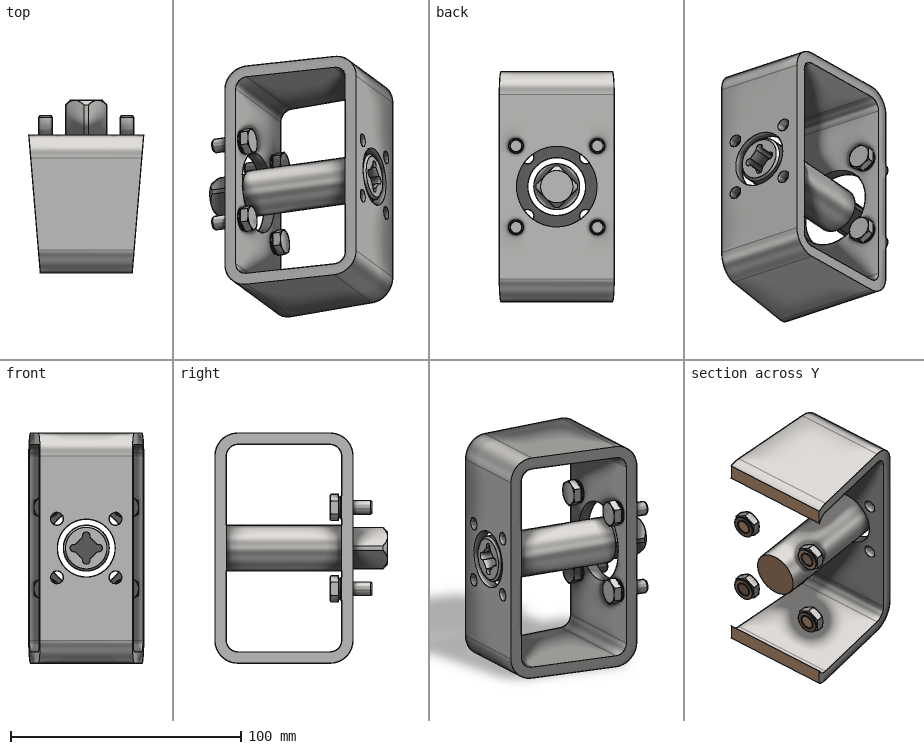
import cadquery as cq
import math

FRAME_HEIGHT = 100.0
FRAME_DEPTH = 60.0
BACK_WIDTH = 50.0
FRONT_WIDTH = 40.0
WALL = 5.0
CORNER_RADIUS = 10.0
FRONT_Y = -FRAME_DEPTH / 2
BACK_Y = FRAME_DEPTH / 2
BACK_INNER_Y = BACK_Y - WALL

FRONT_OPENING_DIA = 25.0
BACK_OPENING_DIA = 35.0
FRONT_HOLE_DIA = 5.5
FRONT_HOLE_CIRCLE_DIA = 36.0
BOLT_HOLE_DIA = 6.5
BOLT_CIRCLE_DIA = 50.0

SHAFT_DIA = 20.0
SHAFT_CHAMFER = 1.0
DRIVE_SIZE = 14.0
DRIVE_CORNER_DIA = 18.0
DRIVE_CHAMFER = 2.0
DRIVE_OVERHANG = 15.0
DRIVE_LENGTH = 17.0
DRIVE_END_Y = BACK_Y + DRIVE_OVERHANG
DRIVE_START_Y = DRIVE_END_Y - DRIVE_LENGTH
SOCKET_SQUARE = 9.0
SOCKET_SPAN = 14.0
SOCKET_SLOT_WIDTH = 3.2
SOCKET_DEPTH = 15.0

WASHER_DIA = 10.0
WASHER_HOLE_DIA = 6.4
WASHER_THICKNESS = 0.7
WASHER_CHAMFER = WASHER_THICKNESS / 2
BOLT_DIA = 6.0
BOLT_LENGTH = 14.0
TIP_DIA = 5.0
TIP_CHAMFER_LENGTH = 0.7
COLLAR_DIA = 8.9
COLLAR_HEIGHT = 0.7
HEX_ACROSS_FLATS = 10.0
HEX_ACROSS_CORNERS = HEX_ACROSS_FLATS / math.cos(math.radians(30))
HEX_HEIGHT = 3.6
HEAD_FACE_DIA = HEX_ACROSS_FLATS
HEAD_CHAMFER_HEIGHT = 0.4
BOLT_SEAT_Y = BACK_INNER_Y - WASHER_THICKNESS


def plane_at(y, x=0.0, z=0.0):
    """Work plane parallel to XZ, with its origin at (x, y, z) and its normal along -Y."""
    return cq.Workplane("XZ", origin=(x, y, z))


def prism(sketch, length):
    """Extrude a sketch lying on an XZ plane towards +Y."""
    return sketch.extrude(-length)


def cylinder(diameter, y_start, y_end, x=0.0, z=0.0):
    """Round bar along Y between two depths."""
    return prism(plane_at(y_start, x, z).circle(diameter / 2), y_end - y_start)


def turned(profile):
    """Revolve a closed (radius, y) profile around the Y axis."""
    return cq.Workplane("XY").polyline(profile).close().revolve(360, (0, 0, 0), (0, 1, 0))


def diagonal_points(circle_dia):
    """The four (x, z) points of a bolt circle that lie on its diagonals."""
    offset = circle_dia / 2 * math.cos(math.radians(45))
    return [(sx * offset, sz * offset) for sx in (-1, 1) for sz in (-1, 1)]


def make_frame():
    """Tapered tube with a large opening and four holes in each plate."""
    outer = cq.Workplane("YZ").rect(FRAME_DEPTH, FRAME_HEIGHT).extrude(BACK_WIDTH / 2, both=True)
    outer = outer.edges("|X").fillet(CORNER_RADIUS)
    inner = (
        cq.Workplane("YZ")
        .rect(FRAME_DEPTH - 2 * WALL, FRAME_HEIGHT - 2 * WALL)
        .extrude(BACK_WIDTH / 2, both=True)
        .edges("|X")
        .fillet(CORNER_RADIUS - WALL)
    )
    taper = (
        cq.Workplane("XY")
        .polyline(
            [
                (-FRONT_WIDTH / 2, FRONT_Y),
                (FRONT_WIDTH / 2, FRONT_Y),
                (BACK_WIDTH / 2, BACK_Y),
                (-BACK_WIDTH / 2, BACK_Y),
            ]
        )
        .close()
        .extrude(FRAME_HEIGHT / 2, both=True)
    )
    frame = outer.cut(inner).intersect(taper)

    frame = frame.cut(cylinder(FRONT_OPENING_DIA, FRONT_Y, FRONT_Y + WALL))
    frame = frame.cut(cylinder(BACK_OPENING_DIA, BACK_INNER_Y, BACK_Y))
    for x, z in diagonal_points(FRONT_HOLE_CIRCLE_DIA):
        frame = frame.cut(cylinder(FRONT_HOLE_DIA, FRONT_Y, FRONT_Y + WALL, x, z))
    for x, z in diagonal_points(BOLT_CIRCLE_DIA):
        frame = frame.cut(cylinder(BOLT_HOLE_DIA, BACK_INNER_Y, BACK_Y, x, z))
    return frame


def make_drive():
    """Square stub standing on its corner, with turned-down corners and a conical end."""
    base = plane_at(DRIVE_START_Y).transformed(rotate=(0, 0, 45))
    square = prism(base.rect(DRIVE_SIZE, DRIVE_SIZE), DRIVE_LENGTH)
    envelope = cylinder(DRIVE_CORNER_DIA, DRIVE_START_Y, DRIVE_END_Y).faces(">Y").chamfer(DRIVE_CHAMFER)
    return square.intersect(envelope)


def make_socket():
    """Cross-shaped recess: a square on its corner with a round-ended slot along each diagonal."""
    base = plane_at(FRONT_Y)
    socket = prism(base.transformed(rotate=(0, 0, 45)).rect(SOCKET_SQUARE, SOCKET_SQUARE), SOCKET_DEPTH)
    for angle in (0, 90):
        socket = socket.union(prism(base.slot2D(SOCKET_SPAN, SOCKET_SLOT_WIDTH, angle), SOCKET_DEPTH))
    return socket


def make_shaft():
    """Round bar that starts flush with the front plate and ends in the square drive."""
    body = cylinder(SHAFT_DIA, FRONT_Y, DRIVE_START_Y).faces("<Y").chamfer(SHAFT_CHAMFER)
    return body.union(make_drive()).cut(make_socket())


def make_washer(x, z):
    """Flat ring against the inside of the back plate, chamfered on the bolt head side."""
    ring = cylinder(WASHER_DIA, BOLT_SEAT_Y, BACK_INNER_Y).faces("<Y").edges().chamfer(WASHER_CHAMFER)
    ring = ring.cut(cylinder(WASHER_HOLE_DIA, BOLT_SEAT_Y, BACK_INNER_Y))
    return ring.translate((x, 0, z))


def make_bolt(x, z):
    """Hexagon bolt with a round collar under the head, pointing towards +Y."""
    tip_y = BOLT_SEAT_Y + BOLT_LENGTH
    hex_y = BOLT_SEAT_Y - COLLAR_HEIGHT
    head_y = hex_y - HEX_HEIGHT

    shank = turned(
        [
            (0, hex_y),
            (COLLAR_DIA / 2, hex_y),
            (COLLAR_DIA / 2, BOLT_SEAT_Y),
            (BOLT_DIA / 2, BOLT_SEAT_Y),
            (BOLT_DIA / 2, tip_y - TIP_CHAMFER_LENGTH),
            (TIP_DIA / 2, tip_y),
            (0, tip_y),
        ]
    )
    hexagon = prism(
        plane_at(head_y).transformed(rotate=(0, 0, 90)).polygon(6, HEX_ACROSS_CORNERS), HEX_HEIGHT
    )
    crown = turned(
        [
            (0, head_y),
            (HEAD_FACE_DIA / 2, head_y),
            (HEX_ACROSS_CORNERS / 2, head_y + HEAD_CHAMFER_HEIGHT),
            (HEX_ACROSS_CORNERS / 2, hex_y),
            (0, hex_y),
        ]
    )
    return shank.union(hexagon.intersect(crown)).translate((x, 0, z))


frame = make_frame()
shaft = make_shaft()
washers = [make_washer(x, z) for x, z in diagonal_points(BOLT_CIRCLE_DIA)]
bolts = [make_bolt(x, z) for x, z in diagonal_points(BOLT_CIRCLE_DIA)]

result = cq.Compound.makeCompound(
    [frame.val(), shaft.val(), *[washer.val() for washer in washers], *[bolt.val() for bolt in bolts]]
)